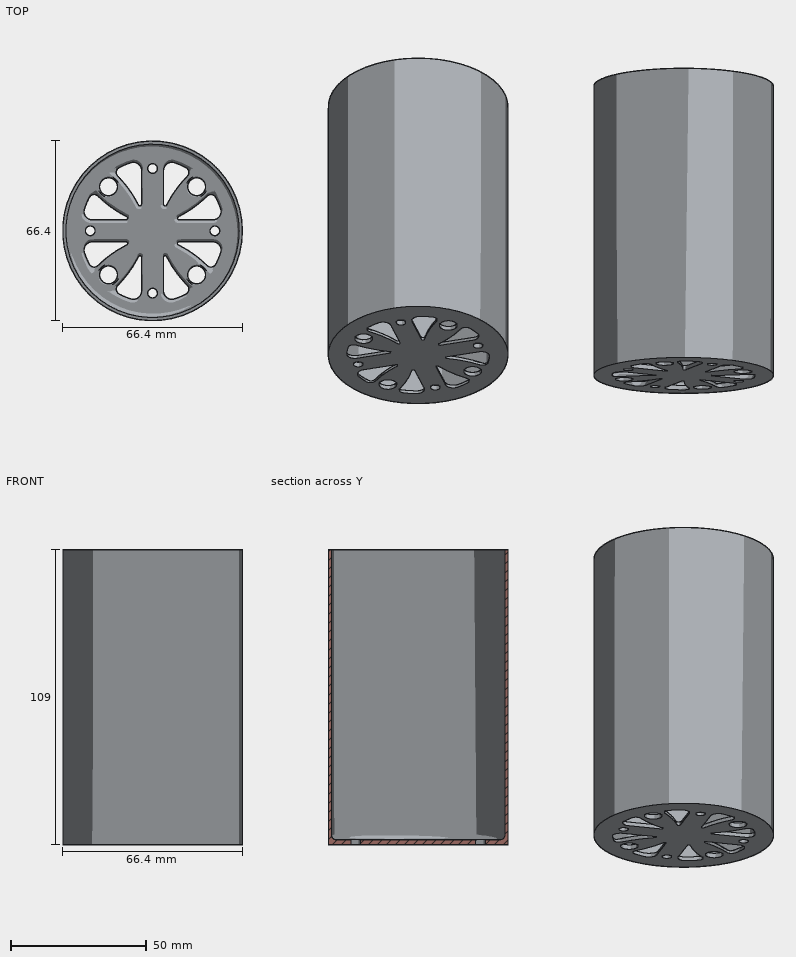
import cadquery as cq
import math

outer_diameter = 66.4
bore_diameter = 64.0
height = 109.0
floor_thickness = 2.0
edge_rounding = 1.7

straight_half_width = 4.1
rim_radius = 26.35
bow_half_width = 5.2
bow_peak_distance = 23.5
bow_radius = 42.0
straight_rim_corner = 3.0
hub_corner = 0.55
bowed_rim_corner = 2.0

bolt_circle_radius = 23.0
small_hole_diameter = 3.5
large_hole_diameter = 6.5
large_hole_rounding = 0.75

quarter_turns = (0, 90, 180, 270)
position_tolerance = 0.01


def height_on_circle(x, center, radius):
    """Y of the upper side of a circle at the given X."""
    return center[1] + math.sqrt(radius**2 - (x - center[0]) ** 2)


def diagonal_point(along, across):
    """XY point given by distances along and across the 45 degree diagonal."""
    return ((along - across) / math.sqrt(2), (along + across) / math.sqrt(2))


def arc_middle(start, end, center, radius):
    """Middle point of the short arc from start to end."""
    middle_x = (start[0] + end[0]) / 2 - center[0]
    middle_y = (start[1] + end[1]) / 2 - center[1]
    stretch = radius / math.hypot(middle_x, middle_y)
    return (center[0] + middle_x * stretch, center[1] + middle_y * stretch)


axis = (0, 0)
bow_center = diagonal_point(bow_peak_distance, bow_half_width - bow_radius)
hub_point = (straight_half_width, height_on_circle(straight_half_width, bow_center, bow_radius))
rim_point = (straight_half_width, height_on_circle(straight_half_width, axis, rim_radius))

bow_center_distance = math.hypot(*bow_center)
tip_cosine = (rim_radius**2 + bow_center_distance**2 - bow_radius**2) / (
    2 * rim_radius * bow_center_distance
)
tip_angle = math.atan2(bow_center[1], bow_center[0]) + math.acos(tip_cosine)
tip_point = (rim_radius * math.cos(tip_angle), rim_radius * math.sin(tip_angle))


def make_cup():
    """Tube with a solid floor and a rounded inside corner."""
    bore = (
        cq.Workplane("XY", origin=(0, 0, floor_thickness))
        .circle(bore_diameter / 2)
        .extrude(height - floor_thickness)
        .faces("<Z")
        .edges()
        .fillet(edge_rounding)
    )
    return cq.Workplane("XY").circle(outer_diameter / 2).extrude(height).cut(bore)


def make_window():
    """Window prism with its two corners at the straight spoke rounded and a sharp tip."""
    prism = (
        cq.Workplane("XY")
        .moveTo(*hub_point)
        .lineTo(*rim_point)
        .threePointArc(arc_middle(rim_point, tip_point, axis, rim_radius), tip_point)
        .threePointArc(arc_middle(tip_point, hub_point, bow_center, bow_radius), hub_point)
        .close()
        .extrude(floor_thickness)
    )
    for corner, radius in ((rim_point, straight_rim_corner), (hub_point, hub_corner)):
        corner_edge = cq.NearestToPointSelector((*corner, floor_thickness / 2))
        prism = prism.edges(corner_edge).fillet(radius)
    return prism


def cut_windows(body):
    """Cut the window and its mirror image beside each straight spoke."""
    window = make_window()
    pair = window.union(window.mirror("YZ"))
    for angle in quarter_turns:
        body = body.cut(pair.rotate((0, 0, 0), (0, 0, 1), angle))
    return body


def round_window_edges(body):
    """Round the upper edges of the windows."""
    floor_face = body.faces(cq.NearestToPointSelector((0, 0, floor_thickness))).val()
    window_edges = [edge for wire in floor_face.innerWires() for edge in wire.Edges()]
    return body.newObject(window_edges).fillet(edge_rounding)


def is_at_tip(point):
    """True for a point above or below the tip of any of the eight windows."""
    near, far = sorted((abs(point.x), abs(point.y)))
    return math.dist((near, far), tip_point) < position_tolerance


def is_tip_edge(edge):
    """True for the upright edge at a window tip and for the mitre that continues it."""
    start = edge.startPoint()
    end = edge.endPoint()
    is_rising = abs(start.z - end.z) > position_tolerance
    return is_rising and (is_at_tip(start) or is_at_tip(end))


def round_window_tips(body):
    """Round the window tips; the rounding fades out along the mitre up to the floor."""
    tip_edges = [edge for edge in body.edges().vals() if is_tip_edge(edge)]
    return body.newObject(tip_edges).fillet(bowed_rim_corner)


def make_small_hole():
    """Plain hole through the floor."""
    return cq.Workplane("XY").circle(small_hole_diameter / 2).extrude(floor_thickness)


def make_large_hole():
    """Hole through the floor with a rounded upper edge."""
    radius = large_hole_diameter / 2
    mouth_point = (radius + large_hole_rounding, floor_thickness)
    return (
        cq.Workplane("XZ")
        .lineTo(radius, 0)
        .lineTo(radius, floor_thickness - large_hole_rounding)
        .radiusArc(mouth_point, large_hole_rounding)
        .lineTo(0, floor_thickness)
        .close()
        .revolve(360, (0, 0, 0), (0, 1, 0))
    )


def cut_holes(body):
    """Small holes on the straight spokes, large holes on the bowed spokes."""
    for angle in quarter_turns:
        for hole, hole_angle in ((make_small_hole(), angle), (make_large_hole(), angle + 45)):
            placed_hole = hole.translate((bolt_circle_radius, 0, 0))
            body = body.cut(placed_hole.rotate((0, 0, 0), (0, 0, 1), hole_angle))
    return body


cup = make_cup()
cup = cut_windows(cup)
cup = round_window_edges(cup)
cup = round_window_tips(cup)
result = cut_holes(cup)